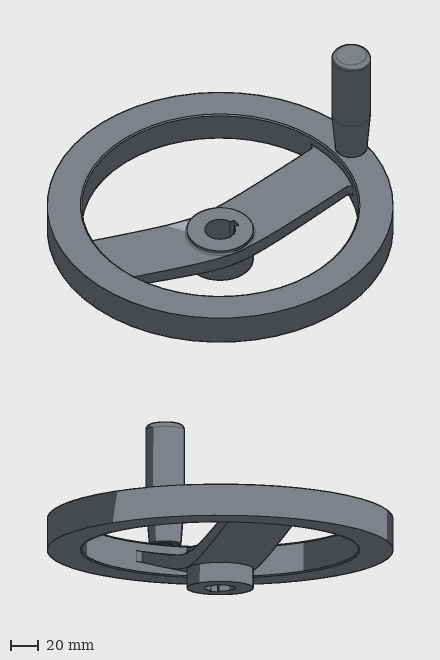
import cadquery as cq
import math


rim_outer_radius = 125.0
rim_inner_radius = 100.0
rim_height = 23.0
rim_chamfer = 1.0

hub_radius = 24.0
hub_top = 0.0
hub_bottom = -28.0
hub_fillet = 1.0
bore_radius = 11.0
keyway_width = 6.0
keyway_reach = 13.8

arm_width = 49.0
arm_top_at_hub = -3.5
arm_top_at_rim = 16.0
arm_bottom_at_hub = -14.0
arm_bottom_at_rim = 8.0
arm_corner_fillet = 3.0

handle_offset = 112.5
handle_height = 92.5
neck_radius = 6.5
neck_height = 2.0
grip_radius = 14.0
grip_foot_radius = 11.5
grip_foot_chamfer = 1.0
taper_top = 35.0
crown_radius = 40.0
crown_edge_radius = 4.0


def make_rim():
    rim = cq.Workplane("XY").circle(rim_outer_radius).circle(rim_inner_radius).extrude(rim_height)
    bore_edges = cq.selectors.RadiusNthSelector(0)
    return rim.faces("<Z or >Z").edges(bore_edges).chamfer(rim_chamfer)


def make_arms():
    """Bar with conical upper and lower faces, running from rim to rim."""
    run = rim_inner_radius - hub_radius
    top_slope = (arm_top_at_rim - arm_top_at_hub) / run
    bottom_slope = (arm_bottom_at_rim - arm_bottom_at_hub) / run
    inner = (hub_radius + bore_radius) / 2
    outer = (rim_inner_radius + rim_outer_radius) / 2
    dish = (
        cq.Workplane("YZ")
        .moveTo(inner, arm_bottom_at_hub)
        .lineTo(hub_radius, arm_bottom_at_hub)
        .lineTo(outer, arm_bottom_at_hub + bottom_slope * (outer - hub_radius))
        .lineTo(outer, arm_top_at_hub + top_slope * (outer - hub_radius))
        .lineTo(hub_radius, arm_top_at_hub)
        .lineTo(inner, arm_top_at_hub)
        .close()
        .revolve(360, (0, 0), (0, 1))
    )
    bar = cq.Workplane("XY").box(arm_width, 2 * outer, 2 * (rim_height - hub_bottom))
    return dish.intersect(bar)


def round_arm_corners(wheel):
    """Round the four upright edges where the sides of the bar meet the bore of the rim."""
    around_bar = cq.selectors.BoxSelector(
        (-arm_width, -rim_inner_radius, 0),
        (arm_width, rim_inner_radius, rim_height),
    )
    return wheel.edges("|Z").edges(around_bar).fillet(arm_corner_fillet)


def make_hub():
    """Hub cylinder with a rounded foot where it meets the upper face of the arms."""
    slope = math.atan2(arm_top_at_rim - arm_top_at_hub, rim_inner_radius - hub_radius)
    setback = hub_fillet / math.tan((math.pi / 2 - slope) / 2)
    centre_r = hub_radius + hub_fillet
    centre_z = arm_top_at_hub + setback
    foot_r = hub_radius + setback * math.cos(slope)
    foot_z = arm_top_at_hub + setback * math.sin(slope)
    mid_angle = math.pi + (math.pi / 2 + slope) / 2
    mid = (centre_r + hub_fillet * math.cos(mid_angle), centre_z + hub_fillet * math.sin(mid_angle))
    return (
        cq.Workplane("YZ")
        .moveTo(0, hub_bottom)
        .lineTo(hub_radius, hub_bottom)
        .lineTo(hub_radius, arm_top_at_hub)
        .lineTo(foot_r, foot_z)
        .threePointArc(mid, (hub_radius, centre_z))
        .lineTo(hub_radius, hub_top)
        .lineTo(0, hub_top)
        .close()
        .revolve(360, (0, 0), (0, 1))
    )


def make_bore():
    depth = hub_top - hub_bottom
    start = cq.Workplane("XY", origin=(0, 0, hub_bottom))
    keyway = start.center(0, keyway_reach / 2).rect(keyway_width, keyway_reach).extrude(depth)
    return start.circle(bore_radius).extrude(depth).union(keyway)


def make_handle():
    """Turned grip on a short neck, with a domed crown tangent to its rounded edge."""
    edge_r = grip_radius - crown_edge_radius
    centre_gap = crown_radius - crown_edge_radius
    dome_z = handle_height - crown_radius
    edge_z = dome_z + math.sqrt(centre_gap**2 - edge_r**2)
    tangent_angle = math.acos(edge_r / centre_gap)

    def on_dome(angle):
        return (crown_radius * math.cos(angle), dome_z + crown_radius * math.sin(angle))

    def on_edge(angle):
        return (edge_r + crown_edge_radius * math.cos(angle), edge_z + crown_edge_radius * math.sin(angle))

    return (
        cq.Workplane("YZ", origin=(0, handle_offset, rim_height))
        .lineTo(neck_radius, 0)
        .lineTo(neck_radius, neck_height)
        .lineTo(grip_foot_radius - grip_foot_chamfer, neck_height)
        .lineTo(grip_foot_radius, neck_height + grip_foot_chamfer)
        .lineTo(grip_radius, taper_top)
        .lineTo(grip_radius, edge_z)
        .threePointArc(on_edge(tangent_angle / 2), on_edge(tangent_angle))
        .threePointArc(on_dome((tangent_angle + math.pi / 2) / 2), (0, handle_height))
        .close()
        .revolve(360, (0, 0), (0, 1))
    )


wheel = round_arm_corners(make_rim().union(make_arms()))
result = wheel.union(make_hub()).cut(make_bore()).union(make_handle())